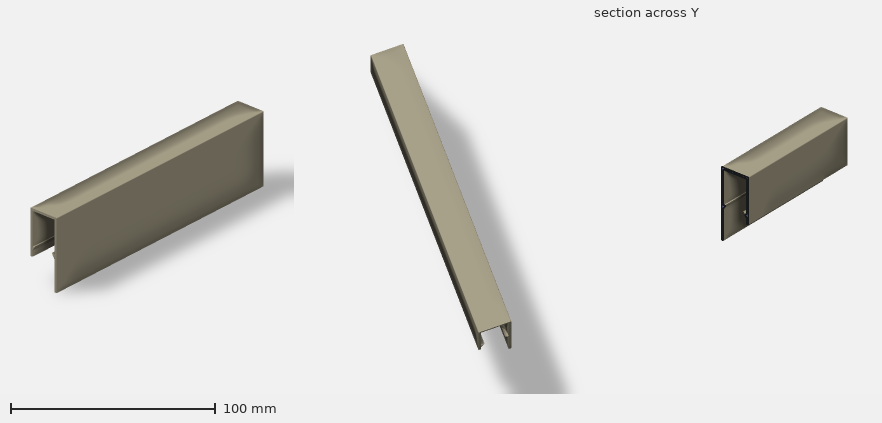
import cadquery as cq

length = 152.4
width = 17.0
long_leg = 41.3
short_leg = 26.7
wall = 1.4
corner_radius = 0.5

barb_tip_depth = 20.3
barb_shoulder_depth = 21.2
barb_root_depth = 23.2
barb_reach = 1.8
barb_shoulder = 0.9


def extrude_profile(points):
    """Extrude a closed XZ outline along the full length, centred on Y."""
    return cq.Workplane("XZ").polyline(points).close().extrude(length / 2, both=True)


def channel():
    """U-shaped channel with a short left leg and rounded outer top corners."""
    half = width / 2
    inner = half - wall
    body = extrude_profile([
        (-half, 0),
        (half, 0),
        (half, -long_leg),
        (inner, -long_leg),
        (inner, -wall),
        (-inner, -wall),
        (-inner, -short_leg),
        (-half, -short_leg),
    ])
    return body.faces(">Z").edges("|Y").fillet(corner_radius)


def barb(side):
    """Upward-pointing barb on the leg at side -1 (left) or +1 (right)."""
    buried = width / 2 - wall / 2
    face = width / 2 - wall
    return extrude_profile([
        (side * buried, -barb_shoulder_depth),
        (side * (face - barb_shoulder), -barb_shoulder_depth),
        (side * (face - barb_reach), -barb_tip_depth),
        (side * face, -barb_root_depth),
        (side * buried, -barb_root_depth),
    ])


result = channel()
for leg_side in (-1, 1):
    result = result.union(barb(leg_side))